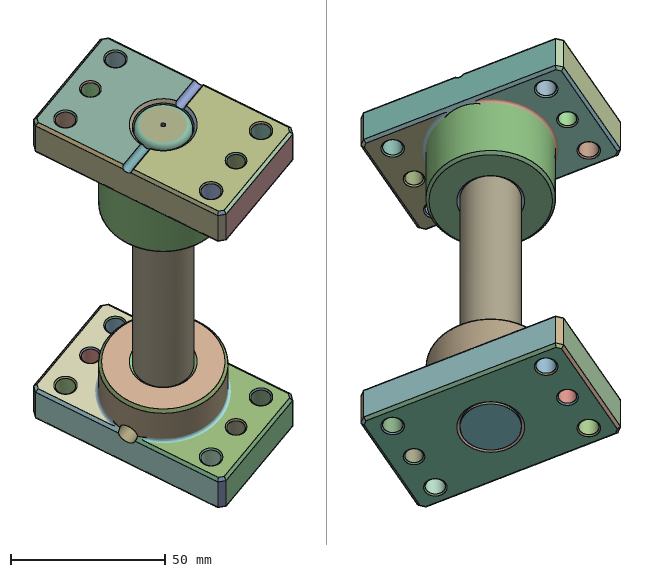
import cadquery as cq
import math

TOTAL_HEIGHT = 150.1
PLATE_LENGTH = 74.0
PLATE_WIDTH = 44.0
PLATE_THICKNESS = 15.0
CORNER_CHAMFER = 2.0
EDGE_CHAMFER = 1.0

BOSS_RADIUS = PLATE_WIDTH / 2 - EDGE_CHAMFER
GUIDE_BOSS_HEIGHT = 25.0
BASE_BOSS_HEIGHT = 15.0
BOSS_FILLET = EDGE_CHAMFER

ROD_DIAMETER = 20.0
ROD_RADIUS = ROD_DIAMETER / 2
ROD_NECK_DIAMETER = 19.0
ROD_NECK_LENGTH = 5.0
ROD_END_FILLET = 2.0
CENTER_MARK_DIAMETER = 1.5
CENTER_MARK_DEPTH = 1.0

HOLE_SPACING_X = 56.0
HOLE_SPACING_Y = 15.0
SCREW_HOLE_DIAMETER = 6.6
DOWEL_HOLE_DIAMETER = 6.0
HOLE_CHAMFER = 0.5

GROOVE_RADIUS = 1.8
CROSS_HOLE_DIAMETER = 6.8


def cylinder(radius, bottom, height):
    """Upright cylinder on the rod axis, starting at height bottom."""
    return cq.Workplane("XY", origin=(0, 0, bottom)).circle(radius).extrude(height)


def plate():
    """Rectangular plate with chamfered corners and rims, underside at Z = 0."""
    block = cq.Workplane("XY").rect(PLATE_LENGTH, PLATE_WIDTH).extrude(PLATE_THICKNESS)
    block = block.edges("|Z").chamfer(CORNER_CHAMFER)
    return block.faces("<Z or >Z").chamfer(EDGE_CHAMFER)


def boss_root_fillet():
    """Concave ring around the boss foot, trimmed by the sloping planes of the long plate rims."""
    top = PLATE_THICKNESS
    outer = BOSS_RADIUS + BOSS_FILLET
    mid_offset = BOSS_FILLET * (1 - math.sqrt(0.5))
    ring = (
        cq.Workplane("XZ")
        .moveTo(ROD_RADIUS, top)
        .lineTo(outer, top)
        .threePointArc((BOSS_RADIUS + mid_offset, top + mid_offset), (BOSS_RADIUS, top + BOSS_FILLET))
        .lineTo(ROD_RADIUS, top + BOSS_FILLET)
        .close()
        .revolve(360, (0, 0, 0), (0, 1, 0))
    )
    rim = PLATE_WIDTH / 2 - EDGE_CHAMFER
    ridge = rim - BOSS_FILLET
    roof = (
        cq.Workplane("YZ")
        .polyline([(-rim, top), (rim, top), (ridge, top + BOSS_FILLET), (-ridge, top + BOSS_FILLET)])
        .close()
        .extrude(outer, both=True)
    )
    return ring.intersect(roof)


def countersunk_hole(diameter, depth, chamfer, x=0.0, y=0.0):
    """Cutter for a through hole from Z = 0 to depth with a chamfer at both mouths."""
    radius = diameter / 2
    profile = [
        (0, 0),
        (radius + chamfer, 0),
        (radius, chamfer),
        (radius, depth - chamfer),
        (radius + chamfer, depth),
        (0, depth),
    ]
    cutter = cq.Workplane("XZ").polyline(profile).close().revolve(360, (0, 0, 0), (0, 1, 0))
    return cutter.translate((x, y, 0))


def flanged_block(boss_height):
    """Plate with a round boss on top, the rod bore and the six mounting holes."""
    boss = cylinder(BOSS_RADIUS, PLATE_THICKNESS, boss_height).faces(">Z").chamfer(EDGE_CHAMFER)
    body = plate().union(boss).union(boss_root_fillet())
    body = body.cut(countersunk_hole(ROD_DIAMETER, PLATE_THICKNESS + boss_height, EDGE_CHAMFER))
    for side in (-1, 1):
        for row in (-1, 0, 1):
            diameter = DOWEL_HOLE_DIAMETER if row == 0 else SCREW_HOLE_DIAMETER
            x = side * HOLE_SPACING_X / 2
            y = row * HOLE_SPACING_Y
            body = body.cut(countersunk_hole(diameter, PLATE_THICKNESS, HOLE_CHAMFER, x, y))
    return body


def make_base():
    """Lower flanged block, with a cross hole from the front into the rod bore."""
    cross_hole = (
        cq.Workplane("XZ", origin=(0, 0, PLATE_THICKNESS))
        .circle(CROSS_HOLE_DIAMETER / 2)
        .extrude(PLATE_WIDTH / 2)
    )
    return flanged_block(BASE_BOSS_HEIGHT).cut(cross_hole)


def make_guide():
    """Upper flanged block, boss pointing down, with a round-bottomed groove across its top."""
    block = flanged_block(GUIDE_BOSS_HEIGHT).rotate((0, 0, 0), (1, 0, 0), 180)
    block = block.translate((0, 0, TOTAL_HEIGHT))
    groove = (
        cq.Workplane("XZ", origin=(0, 0, TOTAL_HEIGHT))
        .moveTo(-GROOVE_RADIUS, 0)
        .threePointArc((0, -GROOVE_RADIUS), (GROOVE_RADIUS, 0))
        .close()
        .extrude(PLATE_WIDTH / 2, both=True)
    )
    return block.cut(groove)


def make_rod():
    """Round rod with a slightly thinner, rounded neck at the upper end and a small center mark."""
    shank_length = TOTAL_HEIGHT - ROD_NECK_LENGTH
    neck = cylinder(ROD_NECK_DIAMETER / 2, shank_length, ROD_NECK_LENGTH)
    neck = neck.faces(">Z").edges().fillet(ROD_END_FILLET)
    mark = cylinder(CENTER_MARK_DIAMETER / 2, TOTAL_HEIGHT - CENTER_MARK_DEPTH, CENTER_MARK_DEPTH)
    return cylinder(ROD_RADIUS, 0, shank_length).union(neck).cut(mark)


base = make_base()
guide = make_guide()
rod = make_rod()

result = cq.Compound.makeCompound([base.solids().val(), guide.solids().val(), rod.solids().val()])